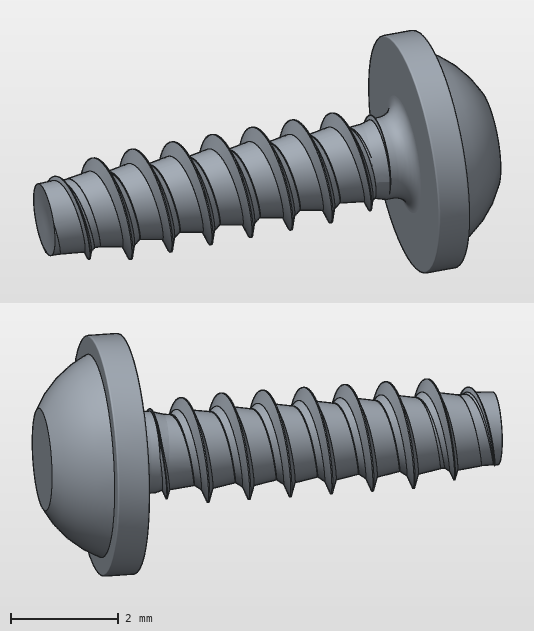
import cadquery as cq
import math

flange_radius = 2.25
flange_height = 0.6
flange_edge_fillet = 0.03
head_height = 1.6
dome_base_radius = 1.9
dome_sphere_radius = 2.08

shank_length = 7.0
neck_radius = 0.765
neck_fillet = 0.35
shoulder_y = -0.49
cone_end_y = -0.8
core_radius = 0.675
tip_dimple_depth = 0.05
tip_dimple_radius = 0.655

pitch = 0.78
thread_radius = 1.01
crest_y_at_turn_zero = -0.94
thread_start_turn = -1.25
run_in_zero_turn = -1.6
run_in_full_turn = 0.4
run_out_full_turn = 6.2
run_out_zero_turn = 7.8
thread_end_turn = 8.25
smallest_rib_share = 0.06
run_in_softness = 0.04
turns_per_piece = 0.5
points_per_piece = 10

crest_half_width = 0.012
flank_half_width = 0.11
head_foot_offset = 0.232
head_flank_radius = 0.77
tip_flank_radius = 0.755
root_step = 0.004
root_low_radius = core_radius + root_step
bare_core_gap = 0.013
root_low_offset = head_foot_offset - pitch + bare_core_gap
buried_radius = 0.5


def revolved_body():
    """Head, neck, shoulder cone and core as one turned profile."""
    dome_center_y = flange_height - math.sqrt(dome_sphere_radius**2 - dome_base_radius**2)

    def dome_radius_at(y):
        return math.sqrt(dome_sphere_radius**2 - (y - dome_center_y) ** 2)

    dome_middle_y = (flange_height + head_height) / 2
    arc_inset = neck_fillet * (1 - math.sqrt(0.5))
    profile = (
        cq.Workplane("XY")
        .moveTo(0, head_height)
        .lineTo(dome_radius_at(head_height), head_height)
        .threePointArc((dome_radius_at(dome_middle_y), dome_middle_y), (dome_base_radius, flange_height))
        .lineTo(flange_radius, flange_height)
        .lineTo(flange_radius, 0)
        .lineTo(neck_radius + neck_fillet, 0)
        .threePointArc((neck_radius + arc_inset, -arc_inset), (neck_radius, -neck_fillet))
        .lineTo(neck_radius, shoulder_y)
        .lineTo(core_radius, cone_end_y)
        .lineTo(core_radius, -shank_length)
        .lineTo(0, -shank_length)
        .close()
    )
    body = profile.revolve(360, (0, 0, 0), (0, 1, 0))
    largest_circles = cq.selectors.RadiusNthSelector(-1)
    return body.edges(largest_circles).fillet(flange_edge_fillet)


def helix_y(turn):
    """Crest height of the undisturbed helix."""
    return crest_y_at_turn_zero - pitch * turn


def crest_y(turn):
    """Helix height that flattens smoothly into a ring at the shoulder."""
    drop = shoulder_y - helix_y(turn)
    return shoulder_y - (drop + math.hypot(drop, run_in_softness)) / 2


def rib_share(turn):
    """Share of the full rib height, fading out at both ends."""
    run_in = (turn - run_in_zero_turn) / (run_in_full_turn - run_in_zero_turn)
    run_out = (run_out_zero_turn - turn) / (run_out_zero_turn - run_out_full_turn)
    return max(smallest_rib_share, min(1, run_in, run_out))


def thread_section(turn):
    """(radius, y) corners of the thread section at a given turn."""
    share = rib_share(turn)
    rib_y = crest_y(turn)
    head_foot_y = rib_y + share * head_foot_offset
    low_y = helix_y(turn) + root_low_offset

    def rib_corner(radius, offset):
        return core_radius + share * (radius - core_radius), rib_y + share * offset

    return [
        (buried_radius, head_foot_y),
        (root_low_radius, head_foot_y),
        rib_corner(head_flank_radius, flank_half_width),
        rib_corner(thread_radius, crest_half_width),
        rib_corner(thread_radius, -crest_half_width),
        rib_corner(tip_flank_radius, -flank_half_width),
        (root_low_radius, low_y),
        (buried_radius, low_y),
    ]


def helical_solid(section, start, end):
    """Solid swept by a (radius, y) section that winds around the Y axis, faced piece by piece."""

    def corners_at(turn):
        angle = 2 * math.pi * turn
        return [
            cq.Vector(radius * math.cos(angle), y, radius * math.sin(angle)) for radius, y in section(turn)
        ]

    piece_count = math.ceil((end - start) / turns_per_piece)
    faces = []
    for piece in range(piece_count):
        stations = [
            start + (end - start) * (piece + step / points_per_piece) / piece_count
            for step in range(points_per_piece + 1)
        ]
        rails = zip(*[corners_at(turn) for turn in stations])
        curves = [cq.Edge.makeSpline(list(rail)) for rail in rails]
        for curve, following in zip(curves, curves[1:] + curves[:1]):
            faces.append(cq.Face.makeRuledSurface(curve, following))
    for turn in (start, end):
        faces.append(cq.Face.makeFromWires(cq.Wire.makePolygon(corners_at(turn), close=True)))
    return cq.Workplane(cq.Solid.makeSolid(cq.Shell.makeShell(faces)).fix())


def tip_dimple():
    """Shallow conical hollow in the tip face."""
    profile = (
        cq.Workplane("XY")
        .moveTo(0, -shank_length + tip_dimple_depth)
        .lineTo(tip_dimple_radius, -shank_length)
        .lineTo(0, -shank_length)
        .close()
    )
    return profile.revolve(360, (0, 0, 0), (0, 1, 0))


def threaded_length():
    """Cylinder from the shoulder to the tip that bounds the thread."""
    shoulder_plane = cq.Workplane("XZ", origin=(0, shoulder_y, 0))
    return shoulder_plane.circle(flange_radius).extrude(shank_length + shoulder_y)


thread = helical_solid(thread_section, thread_start_turn, thread_end_turn)
thread = thread.intersect(threaded_length())
screw = revolved_body().union(thread).cut(tip_dimple())
result = screw.solids()